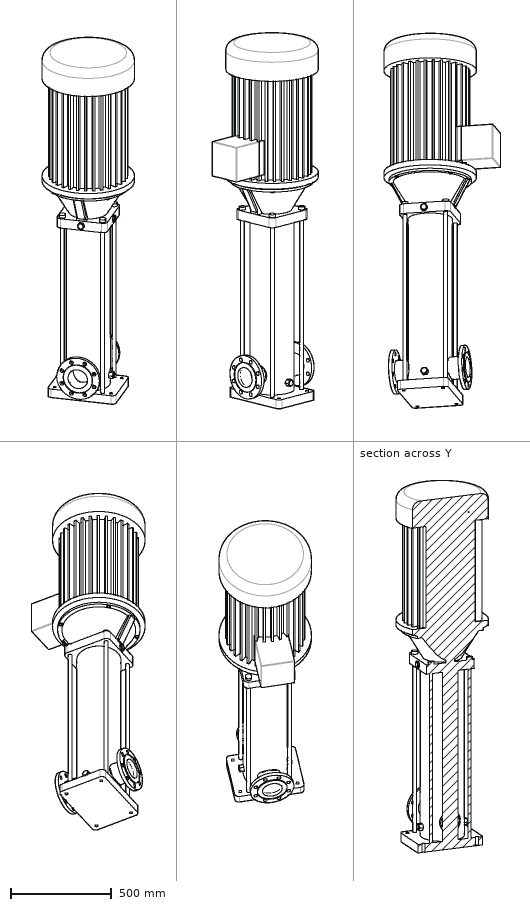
import cadquery as cq
import math

BASE_LENGTH = 350
BASE_WIDTH = 260
BASE_HEIGHT = 46
BASE_CORNER_RADIUS = 20
BASE_HOLE_DIAMETER = 14
BASE_HOLE_X = 145
BASE_HOLE_Y = 100

SLEEVE_DIAMETER = 220
HEAD_WIDTH = 260
HEAD_BOTTOM = 921
HEAD_TOP = 971
HEAD_CORNER_RADIUS = 24
ROD_DIAMETER = 20
ROD_OFFSET = 104
NUT_DIAMETER = 32
NUT_HEIGHT = 14

PORT_HEIGHT = 143
PORT_FACE_Y = 192
PORT_BORE = 100
PORT_PIPE_DIAMETER = 112
PORT_FLANGE_DIAMETER = 220
PORT_FLANGE_THICKNESS = 18
RAISED_FACE_DIAMETER = 150
RAISED_FACE_HEIGHT = 5
PORT_BOLT_COUNT = 8
PORT_BOLT_CIRCLE = 180
PORT_BOLT_HOLE = 18

PLUG_ACROSS_FLATS = 32
VENT_PROJECTION = 10
PLUG_CHAMFER = 5
DRAIN_HEIGHT = 102
DRAIN_ROOT = 100
DRAIN_TIP = 133

CONE_BOTTOM_RADIUS = 98
CONE_TOP_RADIUS = 183
SPIGOT_DIAMETER = 410
SPIGOT_BOTTOM = 1113
SPIGOT_TOP = 1125
MOTOR_FLANGE_DIAMETER = 460
MOTOR_FLANGE_BOTTOM = 1135
MOTOR_FLANGE_TOP = 1164
RIB_WIDTH = 50
RIB_TOE_Y = 127
RIB_TOE_HEIGHT = 10
RIB_TOP_Y = 197
RIB_CHAMFER = 6
STOOL_BOLT_COUNT = 4
STOOL_BOLT_DIAMETER = 18
STOOL_BOLT_CIRCLE = 390
STOOL_BOLT_HEIGHT = 4

FRAME_RADIUS = 168
FIN_RADIUS = 198
FIN_COUNT = 30
FIN_THICKNESS = 11
COVER_DIAMETER = 460
COVER_BOTTOM = 1688
COVER_TOP = 1826
COVER_FILLET = 40

BOX_WIDTH = 170
BOX_INNER_Y = 120
BOX_OUTER_Y = 340
BOX_BOTTOM = 1189
BOX_TOP = 1367
BOX_FILLET = 3


def cylinder(diameter, bottom, top, x=0, y=0):
    """Vertical cylinder between two heights."""
    return cq.Workplane("XY", origin=(x, y, bottom)).circle(diameter / 2).extrude(top - bottom)


def make_base():
    plate = (
        cq.Workplane("XY")
        .rect(BASE_LENGTH, BASE_WIDTH)
        .extrude(BASE_HEIGHT)
        .edges("|Z")
        .fillet(BASE_CORNER_RADIUS)
    )
    return (
        plate.faces(">Z")
        .workplane()
        .rect(2 * BASE_HOLE_X, 2 * BASE_HOLE_Y, forConstruction=True)
        .vertices()
        .hole(BASE_HOLE_DIAMETER)
    )


def make_head():
    return (
        cq.Workplane("XY", origin=(0, 0, HEAD_BOTTOM))
        .rect(HEAD_WIDTH, HEAD_WIDTH)
        .extrude(HEAD_TOP - HEAD_BOTTOM)
        .edges("|Z")
        .fillet(HEAD_CORNER_RADIUS)
    )


def make_tie_rod(x, y):
    rod = cylinder(ROD_DIAMETER, BASE_HEIGHT, HEAD_BOTTOM, x, y)
    nut = cylinder(NUT_DIAMETER, HEAD_TOP, HEAD_TOP + NUT_HEIGHT, x, y)
    return rod.union(nut)


def make_port():
    """Port toward -Y: pipe, flange and raised face, bored as far as the sleeve."""
    flange_y = PORT_FACE_Y - RAISED_FACE_HEIGHT
    axis = cq.Workplane("XZ", origin=(0, 0, PORT_HEIGHT))
    pipe = axis.circle(PORT_PIPE_DIAMETER / 2).extrude(PORT_FACE_Y)
    flange = (
        axis.workplane(offset=flange_y - PORT_FLANGE_THICKNESS)
        .circle(PORT_FLANGE_DIAMETER / 2)
        .extrude(PORT_FLANGE_THICKNESS)
    )
    raised_face = (
        axis.workplane(offset=flange_y).circle(RAISED_FACE_DIAMETER / 2).extrude(RAISED_FACE_HEIGHT)
    )
    half_pitch = 180 / PORT_BOLT_COUNT
    bolt_holes = (
        axis.polarArray(PORT_BOLT_CIRCLE / 2, half_pitch, 360, PORT_BOLT_COUNT)
        .circle(PORT_BOLT_HOLE / 2)
        .extrude(PORT_FACE_Y)
    )
    bore = axis.circle(PORT_BORE / 2).extrude(PORT_FACE_Y)
    return pipe.union(flange.cut(bolt_holes)).union(raised_face).cut(bore)


def make_plug(root, tip):
    """Hexagonal plug pointing toward -Y, from y = -root out to y = -tip, with rounded-off corners."""
    base = cq.Workplane("XZ", origin=(0, -root, 0))
    corner_diameter = PLUG_ACROSS_FLATS / math.cos(math.pi / 6)
    hexagon = base.polygon(6, corner_diameter).extrude(tip - root)
    envelope = base.circle(corner_diameter / 2).extrude(tip - root).faces("<Y").chamfer(PLUG_CHAMFER)
    return hexagon.intersect(envelope)


def make_stool():
    cone_and_flange = (
        cq.Workplane("XZ")
        .moveTo(0, HEAD_TOP)
        .lineTo(CONE_BOTTOM_RADIUS, HEAD_TOP)
        .lineTo(CONE_TOP_RADIUS, SPIGOT_BOTTOM)
        .lineTo(SPIGOT_DIAMETER / 2, SPIGOT_BOTTOM)
        .lineTo(SPIGOT_DIAMETER / 2, SPIGOT_TOP)
        .lineTo(MOTOR_FLANGE_DIAMETER / 2, MOTOR_FLANGE_BOTTOM)
        .lineTo(MOTOR_FLANGE_DIAMETER / 2, MOTOR_FLANGE_TOP)
        .lineTo(0, MOTOR_FLANGE_TOP)
        .close()
        .revolve(360, (0, 0, 0), (0, 1, 0))
    )
    ribs = (
        cq.Workplane("YZ")
        .moveTo(-RIB_TOE_Y, HEAD_TOP)
        .lineTo(RIB_TOE_Y, HEAD_TOP)
        .lineTo(RIB_TOE_Y, HEAD_TOP + RIB_TOE_HEIGHT)
        .lineTo(RIB_TOP_Y, SPIGOT_BOTTOM)
        .lineTo(-RIB_TOP_Y, SPIGOT_BOTTOM)
        .lineTo(-RIB_TOE_Y, HEAD_TOP + RIB_TOE_HEIGHT)
        .close()
        .extrude(RIB_WIDTH / 2, both=True)
    )
    ribs = ribs.edges("not (|X or |Y or |Z)").chamfer(RIB_CHAMFER)
    bolts = (
        cq.Workplane("XY", origin=(0, 0, SPIGOT_BOTTOM - STOOL_BOLT_HEIGHT))
        .polarArray(STOOL_BOLT_CIRCLE / 2, 180 / STOOL_BOLT_COUNT, 360, STOOL_BOLT_COUNT)
        .circle(STOOL_BOLT_DIAMETER / 2)
        .extrude(STOOL_BOLT_HEIGHT)
    )
    return cone_and_flange.union(ribs).union(bolts)


def make_motor():
    motor = cylinder(2 * FRAME_RADIUS, MOTOR_FLANGE_TOP, COVER_BOTTOM)
    fin_root = FRAME_RADIUS - FIN_THICKNESS
    fin_length = FIN_RADIUS - fin_root
    fins = (
        cq.Workplane("XY", origin=(0, 0, MOTOR_FLANGE_TOP))
        .polarArray(fin_root + fin_length / 2, -90, 360, FIN_COUNT)
        .rect(fin_length, FIN_THICKNESS)
        .extrude(COVER_BOTTOM - MOTOR_FLANGE_TOP)
    )
    cover = cylinder(COVER_DIAMETER, COVER_BOTTOM, COVER_TOP).faces(">Z").edges().fillet(COVER_FILLET)
    return motor.union(fins).union(cover)


def make_terminal_box():
    """Box reaching from inside the motor frame out toward +Y."""
    depth = BOX_OUTER_Y - BOX_INNER_Y
    return (
        cq.Workplane("XY", origin=(0, BOX_INNER_Y + depth / 2, BOX_BOTTOM))
        .rect(BOX_WIDTH, depth)
        .extrude(BOX_TOP - BOX_BOTTOM)
        .edges()
        .fillet(BOX_FILLET)
    )


def turned(shape, angle):
    """Copy of the shape turned about the pump axis."""
    return shape.rotate((0, 0, 0), (0, 0, 1), angle)


result = make_base()
port = make_port()
result = result.union(port).union(turned(port, 180))
result = result.union(cylinder(SLEEVE_DIAMETER, BASE_HEIGHT, HEAD_BOTTOM)).union(make_head())
for rod_x in (-ROD_OFFSET, ROD_OFFSET):
    for rod_y in (-ROD_OFFSET, ROD_OFFSET):
        result = result.union(make_tie_rod(rod_x, rod_y))
result = result.union(make_stool()).union(make_motor()).union(make_terminal_box())

vent_seat = HEAD_WIDTH / 2
vent_plug = make_plug(vent_seat, vent_seat + VENT_PROJECTION)
vent_plug = vent_plug.translate((0, 0, (HEAD_BOTTOM + HEAD_TOP) / 2))
result = result.union(vent_plug).union(turned(vent_plug, 90))
drain_plug = make_plug(DRAIN_ROOT, DRAIN_TIP).translate((0, 0, DRAIN_HEIGHT))
result = result.union(turned(drain_plug, 90)).union(turned(drain_plug, -90))